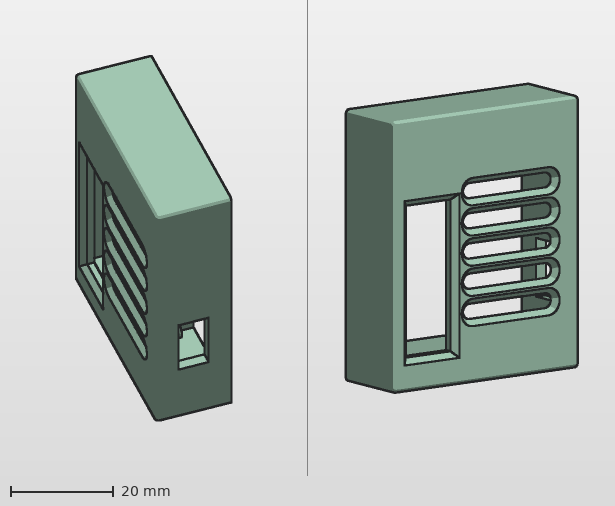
import cadquery as cq

width = 45.0
depth = 15.8
height = 54.0
edge_radius = 0.9
side_wall = 2.4
front_wall = 1.25

front_y = -depth / 2
back_y = depth / 2
inner_front_y = front_y + front_wall
inner_right_x = width / 2 - side_wall
inner_left_x = -inner_right_x
floor_z = -height / 2 + side_wall

flare_angle = 45

window_width = 10.85
window_height = 30.15
window_x = -13.3
window_z = -5.35
window_bottom_z = window_z - window_height / 2
window_left_x = window_x - window_width / 2
frame_border = window_left_x - inner_left_x
frame_depth = 1.5

slot_count = 5
slot_length = 21.2
slot_height = 2.95
slot_pitch = 6.0
slot_x = 5.8
slot_middle_z = -1.0

shelf_right_x = 1.4
shelf_drop = 0.2
shelf_top_z = window_bottom_z - shelf_drop

post_diameter = 3.0
post_x = 5.9
post_z = -20.05
post_end_y = 3.25

port_width = 6.25
port_height = 11.6
port_z = -8.55


def box_between(x_range, y_range, z_range):
    """Axis-aligned box between the given pairs of limits."""
    spans = [limits[1] - limits[0] for limits in (x_range, y_range, z_range)]
    corner = (x_range[0], y_range[0], z_range[0])
    return cq.Workplane("XY").box(*spans, centered=False).translate(corner)


def front_plane(x, y, z):
    """Sketch plane facing the front (-Y), with its origin at the given point."""
    return cq.Workplane("XZ", origin=(x, y, z))


def make_shell():
    """Box with rounded front and corner edges, hollowed out from the back."""
    body = cq.Workplane("XY").box(width, depth, height)
    body = body.edges("|Y or <Y").fillet(edge_radius)
    cavity = box_between(
        (inner_left_x, inner_right_x),
        (inner_front_y, back_y),
        (floor_z, -floor_z),
    )
    return body.cut(cavity)


def make_window_frame():
    """Pad inside the front wall; the window opening leaves a raised border of it."""
    return (
        front_plane(window_x, inner_front_y, window_z)
        .rect(window_width + 2 * frame_border, window_height + 2 * frame_border)
        .extrude(-frame_depth)
    )


def make_shelf():
    return box_between(
        (inner_left_x, shelf_right_x),
        (inner_front_y, back_y),
        (floor_z, shelf_top_z),
    )


def make_post():
    return (
        front_plane(post_x, inner_front_y, post_z)
        .circle(post_diameter / 2)
        .extrude(inner_front_y - post_end_y)
    )


def make_window_opening():
    """Straight cut through the frame, then a flare with mitred corners through the wall."""
    straight = (
        front_plane(window_x, inner_front_y, window_z)
        .rect(window_width, window_height)
        .extrude(-frame_depth)
    )
    flare = (
        front_plane(window_x, inner_front_y, window_z)
        .rect(window_width, window_height)
        .workplane(offset=front_wall)
        .rect(window_width + 2 * front_wall, window_height + 2 * front_wall)
        .loft(ruled=True)
    )
    return straight.union(flare)


def make_slot_opening(z):
    return (
        front_plane(slot_x, inner_front_y, z)
        .slot2D(slot_length, slot_height)
        .extrude(front_wall, taper=-flare_angle)
    )


def make_port_opening():
    return box_between(
        (inner_right_x, width / 2),
        (-port_width / 2, port_width / 2),
        (port_z - port_height / 2, port_z + port_height / 2),
    )


result = make_shell().union(make_window_frame()).union(make_shelf()).union(make_post())
result = result.cut(make_window_opening()).cut(make_port_opening())
for index in range(slot_count):
    offset = index - (slot_count - 1) / 2
    result = result.cut(make_slot_opening(slot_middle_z + offset * slot_pitch))